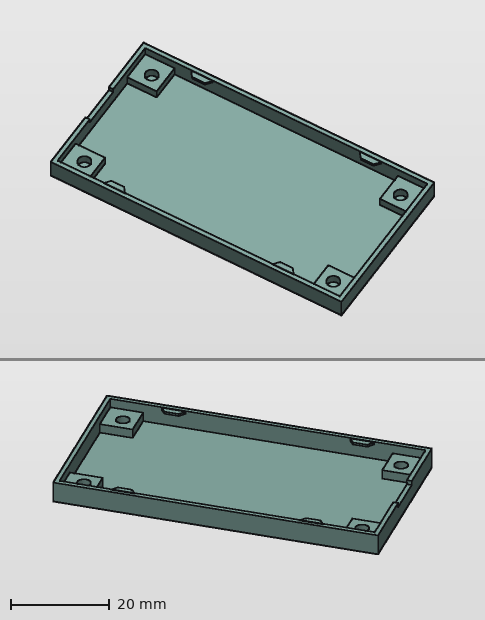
import cadquery as cq

length = 69.0
width = 36.0
height = 4.5
wall = 1.05
floor = 0.5

pad_size = 7.0
pad_height = 2.0
hole_diameter = 2.8
hole_inset = 5.0

notch_width = 9.1
notch_depth = 1.0

tab_root = 5.1
tab_tip = 3.05
tab_reach = 1.3
tab_thickness = 0.5
tab_top_drop = 0.15
tab_spacing = 40.0

inner_length = length - 2 * wall
inner_width = width - 2 * wall
SIDES = (-1, 1)


def make_tray():
    """Rectangular tray with an open top."""
    outer = cq.Workplane("XY").box(length, width, height, centered=(True, True, False))
    cavity = (
        cq.Workplane("XY", origin=(0, 0, floor))
        .box(inner_length, inner_width, height, centered=(True, True, False))
    )
    return outer.cut(cavity)


def make_corner_pads():
    """Square pads on the floor, one in each inner corner."""
    return (
        cq.Workplane("XY", origin=(0, 0, floor))
        .rect(inner_length - pad_size, inner_width - pad_size, forConstruction=True)
        .vertices()
        .rect(pad_size, pad_size)
        .extrude(pad_height)
    )


def make_pad_holes():
    """Holes through the pads, stopping at the tray floor."""
    return (
        cq.Workplane("XY", origin=(0, 0, floor))
        .rect(length - 2 * hole_inset, width - 2 * hole_inset, forConstruction=True)
        .vertices()
        .circle(hole_diameter / 2)
        .extrude(pad_height)
    )


def make_tab(x_side, y_side):
    """Trapezoidal tab reaching inward from a long wall."""
    x = x_side * tab_spacing / 2
    y_root = y_side * inner_width / 2
    y_tip = y_root - y_side * tab_reach
    return (
        cq.Workplane("XY", origin=(0, 0, height - tab_top_drop - tab_thickness))
        .polyline([
            (x - tab_root / 2, y_root),
            (x - tab_tip / 2, y_tip),
            (x + tab_tip / 2, y_tip),
            (x + tab_root / 2, y_root),
        ])
        .close()
        .extrude(tab_thickness)
    )


def make_notch():
    """Rectangular cut through the -X wall at the rim."""
    return (
        cq.Workplane("XY", origin=(-length / 2, 0, height - notch_depth))
        .box(wall, notch_width, notch_depth, centered=(False, True, False))
    )


result = make_tray().union(make_corner_pads()).cut(make_pad_holes())
for x_side in SIDES:
    for y_side in SIDES:
        result = result.union(make_tab(x_side, y_side))
result = result.cut(make_notch())